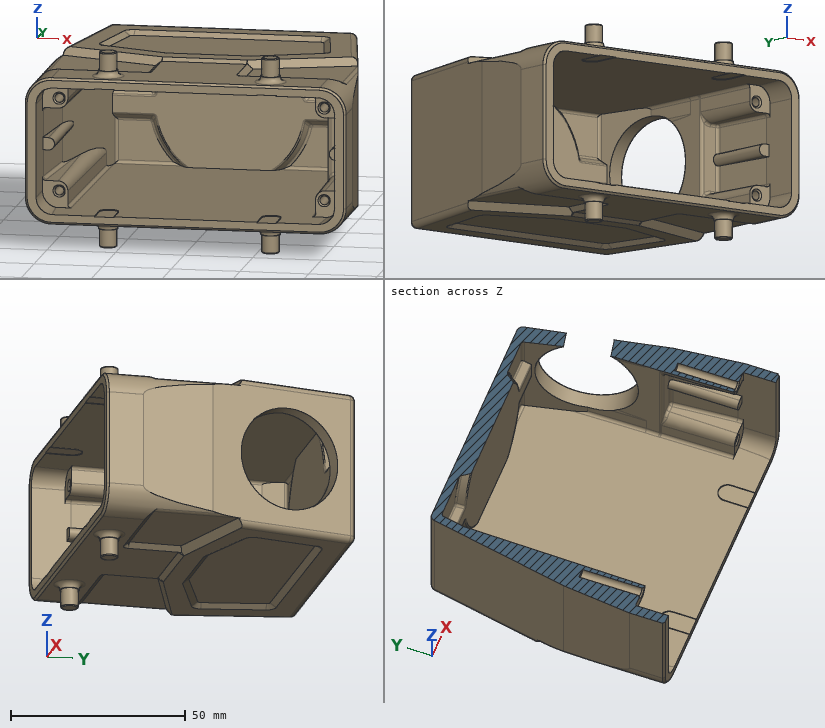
import cadquery as cq
import math


LENGTH = 93.5
DEPTH = 76.0
RIM_HALF_HEIGHT = 21.4
BODY_HALF_HEIGHT = 22.3
RIM_CORNER_RADIUS = 7.7
RIM_CHAMFER = 0.7
BACK_FILLET = 1.9
STRAIGHT_DEPTH = 10.75
SHOULDER_DEPTH = 31.8
SHOULDER_HALF_LENGTH = 44.5
BACK_HALF_LENGTH = 36.0
SIDE_SLOPE = (SHOULDER_HALF_LENGTH - BACK_HALF_LENGTH) / (DEPTH - SHOULDER_DEPTH)
WALL = 2.8

PANEL_MIDDLE_HALF = 12.3
PANEL_FRONT = 31.2
PANEL_EDGE_SLOPE = 0.34
PANEL_EDGE_TAPER = 38.0
PANEL_MIDDLE_BEVEL = 1.7

PAD_HALF_HEIGHT = 20.0
PAD_FRONT = 14.8
PAD_INNER = 14.2
PAD_TAPER = 52.0
PAD_EDGE_FILLET = 1.9

LABEL_DEPTH = 1.3
LABEL_TAPER = 54.0
LABEL_BACK = 68.3
LABEL_BACK_HALF = 29.5
LABEL_SIDE = 45.3
LABEL_SIDE_HALF = 34.0
LABEL_FRONT = 36.9
LABEL_CORNER_RADIUS = 2.8

PIN_X = 23.7
PIN_Y = 6.4
PIN_RADIUS = 2.5
PIN_TIP = 28.5
PIN_CHAMFER = 0.3
COLLAR_BASE_RADIUS = 4.5
COLLAR_TOP_RADIUS = 2.8
COLLAR_HEIGHT = 1.8
SLOT_RADIUS = 2.8
SLOT_END = 10.1
SLOT_DEPTH = 0.2

CAVITY_HALF_HEIGHT = 18.5
CAVITY_BACK_HALF_HEIGHT = 17.9
CAVITY_CORNER_RADIUS = RIM_CORNER_RADIUS - WALL
FLOOR = DEPTH - WALL
MOUTH_HALF_LENGTH = 43.5
MOUTH_DEPTH = 11.7
LEDGE_FILLET = 0.9
FLOOR_FILLET = 0.9
LEDGE_INNER = 35.6
ENTRY_WALL_BACK = 31.0
ENTRY_RADIUS = 15.2
ENTRY_Y = 53.3

ISLAND_HEIGHT = 2.8
ISLAND_TOP = FLOOR - ISLAND_HEIGHT
ISLAND_JOINT_FILLET = 0.9
ISLAND_TOP_FILLET = 0.6
DISC_TOP_RADIUS = 21.9
DISC_BASE_RADIUS = 23.5
BAR_TOP_HALF = 2.8
BAR_BASE_HALF = 4.7

BOSS_FRONT = 10.0
BOSS_INNER_X = 36.1
BOSS_INNER_Z = 10.7
BOSS_CORNER_RADIUS = 2.8
BOSS_TAPER = 1.0
BOSS_ROOT_FILLET = 0.9
SCREW_X = 38.6
SCREW_Z = 13.6
SCREW_RADIUS = 1.3
SCREW_CHAMFER = 0.5
SCREW_CHAMFER_ANGLE = 45.0
SCREW_DEPTH = 18.7
GUIDE_FRONT = 10.5
GUIDE_TIP = 40.0
GUIDE_RADIUS = 1.8

HALF_LENGTH = LENGTH / 2
SIDES = (-1, 1)
PICK = 0.9
FINE_PICK = 0.1


def across_y(y):
    """Plane at depth y, local axes X and -Z, extruding toward the back."""
    return cq.Workplane(cq.Plane(origin=(0, y, 0), xDir=(1, 0, 0), normal=(0, 1, 0)))


def on_both_faces(solid):
    """The solid together with its mirror image on the -Z side."""
    return solid.union(solid.mirror("XY"))


def rounded_tunnel(half_length, half_height, radius):
    """Rounded rectangle running the full depth along Y."""
    return (
        across_y(0)
        .rect(2 * half_length, 2 * half_height)
        .extrude(DEPTH)
        .edges("|Y")
        .fillet(radius)
    )


def within(corner, opposite, half_height=HALF_LENGTH):
    """Selects edges whose middle lies in a plan rectangle, within a height of the mid-plane."""
    return cq.selectors.BoxSelector((*corner, -half_height), (*opposite, half_height))


def make_envelope():
    """Outline of the hood from above, with rounded edges at the back."""
    right = [
        (HALF_LENGTH, 0),
        (HALF_LENGTH, STRAIGHT_DEPTH),
        (SHOULDER_HALF_LENGTH, SHOULDER_DEPTH),
        (BACK_HALF_LENGTH, DEPTH),
    ]
    left = [(-x, y) for x, y in reversed(right)]
    blank = (
        cq.Workplane("XY", origin=(0, 0, -BODY_HALF_HEIGHT))
        .polyline(right + left)
        .close()
        .extrude(2 * BODY_HALF_HEIGHT)
    )
    behind_shoulder = within((-HALF_LENGTH, SHOULDER_DEPTH + PICK), (HALF_LENGTH, DEPTH + PICK))
    return blank.edges(behind_shoulder).fillet(BACK_FILLET)


def make_panel():
    """Raised back panel on the +Z face, oversized at the sides and back."""
    reach = HALF_LENGTH + 2 * WALL
    side_y = PANEL_FRONT + PANEL_EDGE_SLOPE * (reach - PANEL_MIDDLE_HALF)
    outline = [
        (-PANEL_MIDDLE_HALF, PANEL_FRONT),
        (PANEL_MIDDLE_HALF, PANEL_FRONT),
        (reach, side_y),
        (reach, DEPTH),
        (-reach, DEPTH),
        (-reach, side_y),
    ]
    panel = (
        cq.Workplane("XY", origin=(0, 0, BODY_HALF_HEIGHT))
        .polyline(outline)
        .close()
        .extrude(-(BODY_HALF_HEIGHT - PAD_HALF_HEIGHT), taper=-PANEL_EDGE_TAPER)
    )
    bevel = (
        cq.Workplane("YZ", origin=(-PANEL_MIDDLE_HALF, 0, 0))
        .moveTo(PANEL_FRONT, BODY_HALF_HEIGHT)
        .lineTo(PANEL_FRONT - PANEL_MIDDLE_BEVEL, RIM_HALF_HEIGHT)
        .lineTo(PANEL_FRONT, RIM_HALF_HEIGHT)
        .close()
        .extrude(2 * PANEL_MIDDLE_HALF)
    )
    return panel.union(bevel)


def make_pad_cut(side):
    """Tapered cut that sinks one side pad below the +Z rim face."""
    outer = HALF_LENGTH + 2 * WALL
    back = DEPTH - 2 * WALL
    return (
        cq.Workplane("XY", origin=(0, 0, PAD_HALF_HEIGHT))
        .center(side * (PAD_INNER + outer) / 2, (PAD_FRONT + back) / 2)
        .rect(outer - PAD_INNER, back - PAD_FRONT)
        .extrude(BODY_HALF_HEIGHT - PAD_HALF_HEIGHT, taper=-PAD_TAPER)
    )


def make_label_cut():
    """Tapered label recess for the +Z panel."""
    right = [
        (PANEL_MIDDLE_HALF, LABEL_FRONT),
        (LABEL_SIDE_HALF, LABEL_SIDE),
        (LABEL_BACK_HALF, LABEL_BACK),
    ]
    left = [(-x, y) for x, y in reversed(right)]
    outline = (
        cq.Workplane("XY")
        .polyline(right + left)
        .close()
        .extrude(0.9)
        .edges("|Z")
        .edges(">Y or <X or >X")
        .fillet(LABEL_CORNER_RADIUS)
        .faces("<Z")
        .wires()
        .val()
    )
    return (
        cq.Workplane("XY", origin=(0, 0, BODY_HALF_HEIGHT))
        .add(outline.translate(cq.Vector(0, 0, BODY_HALF_HEIGHT)))
        .toPending()
        .extrude(-LABEL_DEPTH, taper=LABEL_TAPER)
    )


def make_outer():
    """Solid hood without its pins and cavity."""
    rim = rounded_tunnel(HALF_LENGTH, RIM_HALF_HEIGHT, RIM_CORNER_RADIUS)
    rim = rim.faces("<Y").chamfer(RIM_CHAMFER)
    for side in SIDES:
        rim = rim.cut(on_both_faces(make_pad_cut(side)))
        pad_ends = within(
            (side * (HALF_LENGTH - RIM_CORNER_RADIUS / 2 - PICK), PAD_FRONT),
            (side * (HALF_LENGTH - PICK), DEPTH),
        )
        rim = rim.edges("|Y").edges(pad_ends).fillet(PAD_EDGE_FILLET)
    outer = rim.union(on_both_faces(make_panel())).intersect(make_envelope())
    return outer.cut(on_both_faces(make_label_cut()))


def make_cavity():
    """Empty inside of the hood: leaning end walls, drafted flat walls and the +X entry ledge."""
    shoulder_x = SHOULDER_HALF_LENGTH - WALL
    floor_x = shoulder_x - SIDE_SLOPE * (FLOOR - SHOULDER_DEPTH)
    plan = [
        (-MOUTH_HALF_LENGTH, 0),
        (MOUTH_HALF_LENGTH, 0),
        (MOUTH_HALF_LENGTH, MOUTH_DEPTH),
        (shoulder_x, SHOULDER_DEPTH),
        (LEDGE_INNER, SHOULDER_DEPTH),
        (LEDGE_INNER, ENTRY_Y),
        (ENTRY_WALL_BACK, FLOOR),
        (-floor_x, FLOOR),
        (-shoulder_x, SHOULDER_DEPTH),
        (-MOUTH_HALF_LENGTH, MOUTH_DEPTH),
    ]
    near_ledge = within(
        (LEDGE_INNER - PICK, SHOULDER_DEPTH - PICK),
        (HALF_LENGTH, SHOULDER_DEPTH + PICK),
        PICK,
    )
    prism = (
        cq.Workplane("XY", origin=(0, 0, -BODY_HALF_HEIGHT))
        .polyline(plan)
        .close()
        .extrude(2 * BODY_HALF_HEIGHT)
        .edges(near_ledge)
        .fillet(LEDGE_FILLET)
    )
    draft = (
        cq.Workplane("YZ", origin=(-HALF_LENGTH, 0, 0))
        .moveTo(0, CAVITY_HALF_HEIGHT)
        .lineTo(FLOOR, CAVITY_BACK_HALF_HEIGHT)
        .lineTo(FLOOR, -CAVITY_BACK_HALF_HEIGHT)
        .lineTo(0, -CAVITY_HALF_HEIGHT)
        .close()
        .extrude(LENGTH)
    )
    tunnel = rounded_tunnel(MOUTH_HALF_LENGTH, CAVITY_HALF_HEIGHT, CAVITY_CORNER_RADIUS)
    return prism.intersect(draft).intersect(tunnel)


def make_island():
    """Disc crossed by a bar, both with sloping sides, standing on the cavity floor."""
    disc_taper = math.degrees(math.atan((DISC_BASE_RADIUS - DISC_TOP_RADIUS) / ISLAND_HEIGHT))
    disc = across_y(ISLAND_TOP).circle(DISC_TOP_RADIUS).extrude(ISLAND_HEIGHT, taper=-disc_taper)
    bar = (
        cq.Workplane("YZ", origin=(-HALF_LENGTH, 0, 0))
        .moveTo(ISLAND_TOP, BAR_TOP_HALF)
        .lineTo(FLOOR, BAR_BASE_HALF)
        .lineTo(FLOOR, -BAR_BASE_HALF)
        .lineTo(ISLAND_TOP, -BAR_TOP_HALF)
        .close()
        .extrude(LENGTH)
    )
    joints = within((-HALF_LENGTH, ISLAND_TOP + FINE_PICK), (HALF_LENGTH, FLOOR - FINE_PICK))
    island = disc.union(bar).edges(joints).fillet(ISLAND_JOINT_FILLET)
    return island.faces("<Y").edges().fillet(ISLAND_TOP_FILLET)


def make_boss(x_side, z_side):
    """Corner boss, oversized into the walls, widening slightly toward the floor."""
    size_x = HALF_LENGTH - BOSS_INNER_X
    size_z = RIM_HALF_HEIGHT - BOSS_INNER_Z
    return (
        across_y(BOSS_FRONT)
        .center(x_side * (BOSS_INNER_X + size_x / 2), -z_side * (BOSS_INNER_Z + size_z / 2))
        .sketch()
        .rect(size_x, size_z)
        .vertices()
        .fillet(BOSS_CORNER_RADIUS)
        .finalize()
        .extrude(FLOOR - BOSS_FRONT, taper=-BOSS_TAPER)
    )


def round_boss_roots(cavity):
    """Rounds the inner corners where the bosses run into the end walls and the flat walls."""
    for x_side in SIDES:
        for z_side in SIDES:
            end_wall_root = cq.selectors.BoxSelector(
                (x_side * SCREW_X, MOUTH_DEPTH, z_side * (BOSS_INNER_Z - PICK)),
                (x_side * HALF_LENGTH, SHOULDER_DEPTH + WALL, z_side * BOSS_INNER_Z),
            )
            flat_wall_root = cq.selectors.BoxSelector(
                (
                    x_side * (BOSS_INNER_X - PICK),
                    BOSS_FRONT + PICK,
                    z_side * (CAVITY_BACK_HALF_HEIGHT - FINE_PICK),
                ),
                (x_side * BOSS_INNER_X, FLOOR, z_side * CAVITY_HALF_HEIGHT),
            )
            cavity = cavity.edges(end_wall_root).fillet(BOSS_ROOT_FILLET)
            cavity = cavity.edges(flat_wall_root).fillet(BOSS_ROOT_FILLET)
    return cavity


def make_guide(side):
    """Round-nosed rib in the middle of an end wall."""
    nose_x = GUIDE_TIP + GUIDE_RADIUS
    root = HALF_LENGTH - nose_x
    nose = across_y(GUIDE_FRONT).center(side * nose_x, 0).circle(GUIDE_RADIUS).extrude(FLOOR - GUIDE_FRONT)
    web = (
        across_y(GUIDE_FRONT)
        .center(side * (nose_x + root / 2), 0)
        .rect(root, 2 * GUIDE_RADIUS)
        .extrude(FLOOR - GUIDE_FRONT)
    )
    return nose.union(web)


def make_screw_hole(x, z):
    """Blind hole in a boss with a chamfered mouth."""
    hole = across_y(BOSS_FRONT).center(x, z).circle(SCREW_RADIUS).extrude(SCREW_DEPTH)
    mouth = (
        across_y(BOSS_FRONT)
        .center(x, z)
        .circle(SCREW_RADIUS + SCREW_CHAMFER)
        .extrude(SCREW_CHAMFER, taper=SCREW_CHAMFER_ANGLE)
    )
    return hole.union(mouth)


def make_entry():
    """Cable entry through the +X wall, square to the leaning outer face."""
    lean = math.atan(SIDE_SLOPE)
    axis = (math.cos(lean), math.sin(lean), 0)
    start = cq.Plane(origin=(ENTRY_WALL_BACK - WALL, ENTRY_Y, 0), xDir=(0, 0, 1), normal=axis)
    return cq.Workplane(start).circle(ENTRY_RADIUS).extrude(HALF_LENGTH)


def make_pin(x):
    """Locking pin with a flared collar on the +Z rim face."""
    pin = (
        cq.Workplane("XY", origin=(x, PIN_Y, CAVITY_HALF_HEIGHT + WALL / 2))
        .circle(PIN_RADIUS)
        .extrude(PIN_TIP - CAVITY_HALF_HEIGHT - WALL / 2)
        .faces(">Z")
        .chamfer(PIN_CHAMFER)
    )
    flare = COLLAR_BASE_RADIUS - COLLAR_TOP_RADIUS
    arc_offset = flare * (1 - math.sqrt(0.5))
    collar = (
        cq.Workplane("XZ", origin=(x, PIN_Y, RIM_HALF_HEIGHT))
        .lineTo(COLLAR_BASE_RADIUS, 0)
        .threePointArc((COLLAR_TOP_RADIUS + arc_offset, arc_offset), (COLLAR_TOP_RADIUS, flare))
        .lineTo(COLLAR_TOP_RADIUS, COLLAR_HEIGHT)
        .lineTo(0, COLLAR_HEIGHT)
        .close()
        .revolve(360, (0, 0, 0), (0, 1, 0))
    )
    return pin.union(collar)


def make_slot(x):
    """Shallow round-ended slot inside the +Z wall, open to the mouth, under a pin."""
    top = CAVITY_HALF_HEIGHT + SLOT_DEPTH
    return (
        cq.Workplane("XY", origin=(x, 0, top))
        .moveTo(-SLOT_RADIUS, 0)
        .lineTo(-SLOT_RADIUS, SLOT_END - SLOT_RADIUS)
        .threePointArc((0, SLOT_END), (SLOT_RADIUS, SLOT_END - SLOT_RADIUS))
        .lineTo(SLOT_RADIUS, 0)
        .close()
        .extrude(-WALL)
    )


cavity = make_cavity().cut(make_island())
floor_edges = within((-HALF_LENGTH, FLOOR - FINE_PICK), (HALF_LENGTH, FLOOR + FINE_PICK))
cavity = cavity.edges(floor_edges).fillet(FLOOR_FILLET)
for x_side in SIDES:
    cavity = cavity.cut(make_guide(x_side))
    for z_side in SIDES:
        cavity = cavity.cut(make_boss(x_side, z_side))

cavity = round_boss_roots(cavity)

result = make_outer().cut(cavity).cut(make_entry())
for x_side in SIDES:
    result = result.cut(on_both_faces(make_slot(x_side * PIN_X)))
    result = result.union(on_both_faces(make_pin(x_side * PIN_X)))
    for z_side in SIDES:
        result = result.cut(make_screw_hole(x_side * SCREW_X, z_side * SCREW_Z))